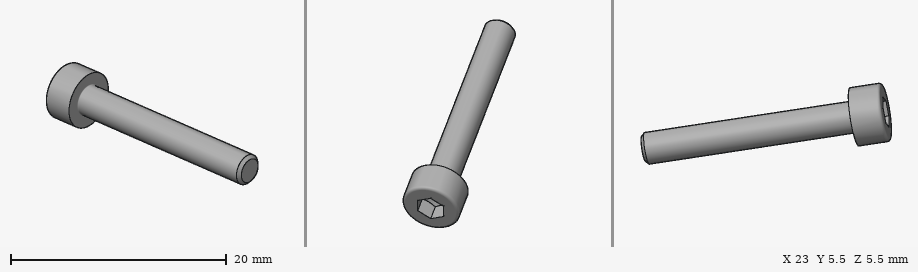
import cadquery as cq
import math

total_length = 23.0
head_diameter = 5.5
head_length = 3.0
head_edge_radius = 0.3
shank_diameter = 3.0
tip_chamfer = 0.32
neck_fillet_radius = 0.1

socket_across_flats = 2.5
socket_depth = 1.5
socket_cone_half_angle = 60.0

head_face_x = -total_length / 2
head_back_x = head_face_x + head_length


def make_head():
    """Cylindrical head with its outer rim rounded."""
    head = cq.Workplane("YZ", origin=(head_face_x, 0, 0)).circle(head_diameter / 2).extrude(head_length)
    return head.faces("<X").edges().fillet(head_edge_radius)


def make_shank():
    """Plain shank with a chamfered tip."""
    shank_length = total_length - head_length
    shank = cq.Workplane("YZ", origin=(head_back_x, 0, 0)).circle(shank_diameter / 2).extrude(shank_length)
    return shank.faces(">X").edges().chamfer(tip_chamfer)


def round_neck(screw):
    """Fillet the corner where the shank meets the head."""
    neck_reach = (shank_diameter + head_diameter) / 4
    neck_edge = cq.selectors.BoxSelector(
        (head_back_x - neck_fillet_radius, -neck_reach, -neck_reach),
        (head_back_x + neck_fillet_radius, neck_reach, neck_reach),
        boundingbox=True,
    )
    return screw.edges(neck_edge).edges("%CIRCLE").fillet(neck_fillet_radius)


def make_socket():
    """Hexagonal recess, corners along Z, with a conical floor."""
    corner_radius = socket_across_flats / math.sqrt(3)
    cone_depth = corner_radius / math.tan(math.radians(socket_cone_half_angle))
    hexagon = (
        cq.Workplane("YZ", origin=(head_face_x, 0, 0))
        .polygon(6, 2 * corner_radius)
        .extrude(socket_depth + cone_depth)
        .rotate((0, 0, 0), (1, 0, 0), 90)
    )
    floor_x = head_face_x + socket_depth
    bore_profile = [
        (head_face_x, 0),
        (head_face_x, corner_radius),
        (floor_x, corner_radius),
        (floor_x + cone_depth, 0),
    ]
    bore = cq.Workplane("XY").polyline(bore_profile).close().revolve(360, (0, 0, 0), (1, 0, 0))
    return hexagon.intersect(bore)


screw = make_head().union(make_shank())
result = round_neck(screw).cut(make_socket())